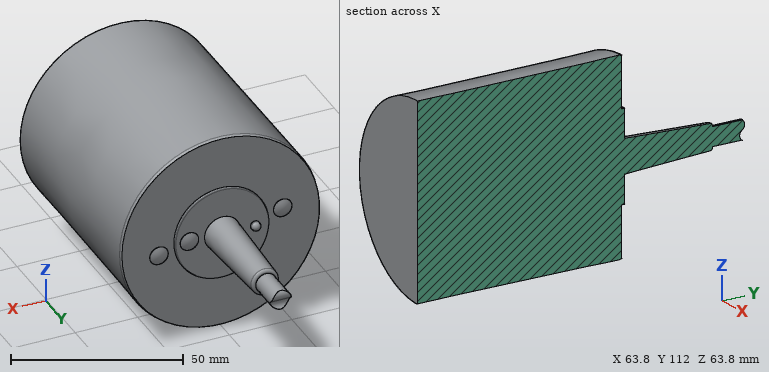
import cadquery as cq
import math

HOUSING_LENGTH = 70.0
HOUSING_FRONT_DIA = 63.2
HOUSING_MAX_DIA = 63.8
HOUSING_REAR_DIA = 63.2
REAR_BEVEL_LENGTH = 1.0

PLATE_DIA = 30.0
PLATE_THICKNESS = 1.0
PLATE_ROUND = 0.2
PLATE_TOP = HOUSING_LENGTH + PLATE_THICKNESS

RELIEF_BASE_DIA = 11.4
RELIEF_END_DIA = 8.6
RELIEF_END = 101.0
RELIEF_TIP_ROUND = 1.0

CABLE_DIA = 6.4
CABLE_END = 112.0
WAVE_HEIGHT = 0.85

BUTTON_DIA = 5.9
BUTTON_RIM_HEIGHT = 0.1
BUTTON_HEIGHT = 0.8
HOUSING_BUTTON_RADIUS = 20.0
HOUSING_BUTTON_Z = 3.0

PLATE_FITTING_OFFSET = 10.5

LAMP_DIA = 3.0
LAMP_RIM_HEIGHT = 0.6
LAMP_HEIGHT = 2.0


def make_housing():
    """Revolve the conical drum about the Y axis."""
    bevel_start = HOUSING_LENGTH - REAR_BEVEL_LENGTH
    return (
        cq.Workplane("XY")
        .lineTo(HOUSING_FRONT_DIA / 2, 0)
        .lineTo(HOUSING_MAX_DIA / 2, bevel_start)
        .lineTo(HOUSING_REAR_DIA / 2, HOUSING_LENGTH)
        .lineTo(0, HOUSING_LENGTH)
        .close()
        .revolve(360, (0, 0), (0, 1))
    )


def make_plate():
    """Disc on the rear face with a fine round on its outer rim."""
    return (
        cq.Workplane("XZ", origin=(0, HOUSING_LENGTH, 0))
        .circle(PLATE_DIA / 2)
        .extrude(-PLATE_THICKNESS)
        .faces(">Y")
        .edges()
        .fillet(PLATE_ROUND)
    )


def make_strain_relief():
    """Tapered sleeve, rounded at its tip and seated on the housing."""
    return (
        cq.Workplane("XY")
        .moveTo(0, HOUSING_LENGTH)
        .lineTo(RELIEF_BASE_DIA / 2, HOUSING_LENGTH)
        .lineTo(RELIEF_END_DIA / 2, RELIEF_END)
        .lineTo(0, RELIEF_END)
        .close()
        .revolve(360, (0, 0), (0, 1))
        .faces(">Y")
        .edges()
        .fillet(RELIEF_TIP_ROUND)
    )


def make_cable():
    """Round cable whose end is cut to an S-shaped wave: crest at +Z, trough at -Z."""
    radius = CABLE_DIA / 2
    wave_middle = CABLE_END - WAVE_HEIGHT
    wave_trough = wave_middle - WAVE_HEIGHT
    wave_profile = (
        cq.Workplane("YZ", origin=(-radius, 0, 0))
        .moveTo(HOUSING_LENGTH, -radius)
        .lineTo(wave_middle, -radius)
        .threePointArc((wave_trough, -radius / 2), (wave_middle, 0))
        .threePointArc((CABLE_END, radius / 2), (wave_middle, radius))
        .lineTo(HOUSING_LENGTH, radius)
        .close()
        .extrude(CABLE_DIA)
    )
    rod = (
        cq.Workplane("XZ", origin=(0, HOUSING_LENGTH, 0))
        .circle(radius)
        .extrude(HOUSING_LENGTH - CABLE_END)
    )
    return rod.intersect(wave_profile)


def make_domed_pin(diameter, rim_height, height, x, base_y, z):
    """Short cylinder along +Y, capped by a shallow spherical dome."""
    radius = diameter / 2
    dome_height = height - rim_height
    sphere_radius = (radius**2 + dome_height**2) / (2 * dome_height)
    arc_x = radius / 2
    arc_y = height - sphere_radius + math.sqrt(sphere_radius**2 - arc_x**2)
    return (
        cq.Workplane("XY")
        .lineTo(radius, 0)
        .lineTo(radius, rim_height)
        .threePointArc((arc_x, arc_y), (0, height))
        .close()
        .revolve(360, (0, 0), (0, 1))
        .translate((x, base_y, z))
    )


def make_button(x, base_y, z):
    return make_domed_pin(BUTTON_DIA, BUTTON_RIM_HEIGHT, BUTTON_HEIGHT, x, base_y, z)


def make_lamp():
    return make_domed_pin(LAMP_DIA, LAMP_RIM_HEIGHT, LAMP_HEIGHT, -PLATE_FITTING_OFFSET, PLATE_TOP, 0)


button_x = math.sqrt(HOUSING_BUTTON_RADIUS**2 - HOUSING_BUTTON_Z**2)

result = make_housing()
result = result.union(make_plate())
result = result.union(make_strain_relief())
result = result.union(make_cable())
for side in (-1, 1):
    result = result.union(make_button(side * button_x, HOUSING_LENGTH, -side * HOUSING_BUTTON_Z))
result = result.union(make_button(PLATE_FITTING_OFFSET, PLATE_TOP, 0))
result = result.union(make_lamp())